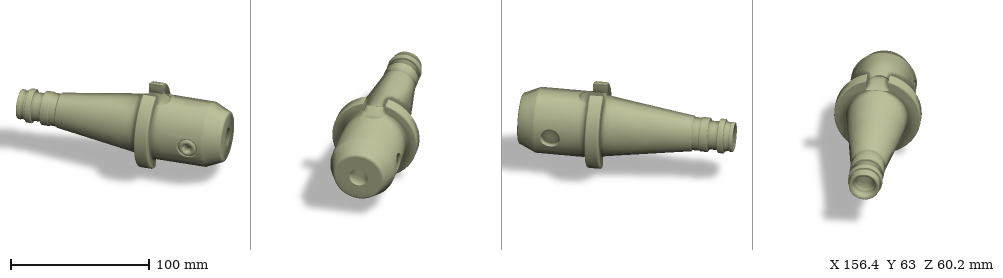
import cadquery as cq
import math

total_length = 156.4
gauge_x = 93.8
flange_start = 95.0
flange_width = 10.0
flange_end = flange_start + flange_width

end_radius = 11.0
end_chamfer = 0.5
ring_groove_start = 2.2
ring_groove_width = 3.1
ring_groove_depth = 0.5
ring_groove_slope = 0.8
land_radius = 12.5
land_edge = 0.3
rear_land_start = 6.7
rear_land_end = 11.1
front_land_start = 18.3
front_land_end = 24.0
neck_radius = 10.5
neck_fillet = 0.6
relief_radius = 12.0
relief_step = 0.8
taper_start = 30.3
taper_lead_in = 0.8

taper_ratio = 7 / 24
gauge_radius = 22.2
taper_small_radius = gauge_radius - (gauge_x - taper_start) * taper_ratio / 2
flange_radius = 31.5
flange_fillet = 1.1
taper_root_fillet = 0.6
flange_height = 60.2
body_radius = 24.0
flange_root_fillet = 1.5
cone_start = 143.5
cone_end = 155.5
cone_end_radius = 18.6
cone_fillet = 2.5
nose_fillet = 2.0

slot_width = 16.3
slot_floor = 22.5
slot_end = 113.7

bore_radius = 6.9
middle_bore_radius = 7.2
middle_bore_end = 11.1
mouth_bore_radius = 8.0
mouth_bore_end = 6.4
mouth_fillet = 2.3

screw_x = 133.0
screw_radius = 6.9
screw_head_y = -23.8
screw_tip_y = -7.8
screw_point_radius = 5.5
screw_chamfer_depth = 1.4
hex_across_flats = 6.1
hex_depth = 6.0
hex_mouth_radius = 4.0
hole_chamfer = 0.8

balance_x = 131.2
balance_radius = 7.2
balance_floor_y = 18.8


def revolve_about_x(profile):
    return profile.close().revolve(360, (0, 0, 0), (1, 0, 0))


def make_pilot():
    """Stepped drawbar end, up to the small end of the taper."""
    groove_end = ring_groove_start + ring_groove_width
    groove_radius = end_radius - ring_groove_depth
    profile = (
        cq.Workplane("XZ")
        .lineTo(0, end_radius - end_chamfer)
        .lineTo(end_chamfer, end_radius)
        .lineTo(ring_groove_start, end_radius)
        .lineTo(ring_groove_start + ring_groove_slope, groove_radius)
        .lineTo(groove_end - ring_groove_slope, groove_radius)
        .lineTo(groove_end, end_radius)
        .lineTo(rear_land_start, end_radius)
        .lineTo(rear_land_start, land_radius - land_edge)
        .lineTo(rear_land_start + land_edge, land_radius)
        .lineTo(rear_land_end - land_edge, land_radius)
        .lineTo(rear_land_end, land_radius - land_edge)
        .lineTo(rear_land_end, neck_radius + neck_fillet)
        .radiusArc((rear_land_end + neck_fillet, neck_radius), -neck_fillet)
        .lineTo(front_land_start - neck_fillet, neck_radius)
        .radiusArc((front_land_start, neck_radius + neck_fillet), -neck_fillet)
        .lineTo(front_land_start, land_radius - land_edge)
        .lineTo(front_land_start + land_edge, land_radius)
        .lineTo(front_land_end, land_radius)
        .lineTo(front_land_end + relief_step, relief_radius)
        .lineTo(taper_start - taper_lead_in, relief_radius)
        .lineTo(taper_start, taper_small_radius)
        .lineTo(taper_start, 0)
    )
    return revolve_about_x(profile)


def make_taper():
    profile = (
        cq.Workplane("XZ")
        .moveTo(taper_start, 0)
        .lineTo(taper_start, taper_small_radius)
        .lineTo(gauge_x, gauge_radius)
        .lineTo(flange_start - taper_root_fillet, gauge_radius)
        .radiusArc((flange_start, gauge_radius + taper_root_fillet), -taper_root_fillet)
        .lineTo(flange_start, 0)
    )
    return revolve_about_x(profile)


def make_flange():
    """Rounded disc, cut flat at the top and bottom."""
    disc = cq.Workplane("YZ", origin=(flange_start, 0, 0)).circle(flange_radius).extrude(flange_width)
    disc = disc.edges().fillet(flange_fillet)
    clip = cq.Workplane("XY").box(3 * flange_width, 3 * flange_radius, flange_height)
    return disc.intersect(clip.translate((flange_start, 0, 0)))


def make_nose():
    """Cylindrical body with a conical front end and a fillet against the flange."""
    root_end = flange_end + flange_root_fillet
    cone_slope = (body_radius - cone_end_radius) / (cone_end - cone_start)
    front_radius = body_radius - cone_slope * (total_length - cone_start)
    outline = (
        cq.Workplane("XZ")
        .moveTo(flange_start, 0)
        .lineTo(flange_start, body_radius)
        .lineTo(cone_start, body_radius)
        .lineTo(total_length, front_radius)
        .lineTo(total_length, 0)
    )
    nose = revolve_about_x(outline)
    nose = nose.faces(">X").edges().fillet(nose_fillet)
    nose = nose.faces("%CYLINDER").edges(">X").fillet(cone_fillet)
    root = (
        cq.Workplane("XZ")
        .moveTo(flange_end, 0)
        .lineTo(flange_end, body_radius + flange_root_fillet)
        .radiusArc((root_end, body_radius), -flange_root_fillet)
        .lineTo(root_end, 0)
    )
    return nose.union(revolve_about_x(root))


def make_key_slot(side):
    """Round-ended cutter for one key slot; side is +1 for +Z and -1 for -Z."""
    straight_end = slot_end - slot_width / 2
    outline = (
        cq.Workplane("XY", origin=(0, 0, side * slot_floor))
        .moveTo(flange_start, -slot_width / 2)
        .lineTo(straight_end, -slot_width / 2)
        .threePointArc((slot_end, 0), (straight_end, slot_width / 2))
        .lineTo(flange_start, slot_width / 2)
        .close()
    )
    return outline.extrude(side * flange_radius)


def make_bore():
    """Through bore that narrows in two chamfered steps behind a rounded mouth."""
    mouth_step = mouth_bore_radius - middle_bore_radius
    middle_step = middle_bore_radius - bore_radius
    profile = (
        cq.Workplane("XZ")
        .lineTo(0, mouth_bore_radius + mouth_fillet)
        .radiusArc((mouth_fillet, mouth_bore_radius), -mouth_fillet)
        .lineTo(mouth_bore_end, mouth_bore_radius)
        .lineTo(mouth_bore_end + mouth_step, middle_bore_radius)
        .lineTo(middle_bore_end, middle_bore_radius)
        .lineTo(middle_bore_end + middle_step, bore_radius)
        .lineTo(total_length, bore_radius)
        .lineTo(total_length, 0)
    )
    return revolve_about_x(profile)


def cut_screw_hole(holder):
    """Radial hole from the axis out through the -Y side, chamfered where it meets the body surface."""
    hole = cq.Workplane("XZ", origin=(screw_x, 0, 0)).circle(screw_radius).extrude(2 * body_radius)
    drilled = holder.cut(hole)
    reach = screw_radius + hole_chamfer
    around_rim = cq.selectors.BoxSelector(
        (screw_x - reach, -body_radius - hole_chamfer, -reach),
        (screw_x + reach, -body_radius / 2, reach),
        boundingbox=True,
    )
    return drilled.edges(around_rim).chamfer(hole_chamfer)


def make_balance_hole():
    floor = cq.Workplane("XZ", origin=(balance_x, balance_floor_y, 0))
    return floor.circle(balance_radius).extrude(-body_radius)


def make_holder():
    holder = make_pilot().union(make_taper()).union(make_flange()).union(make_nose())
    for side in (1, -1):
        holder = holder.cut(make_key_slot(side))
    holder = cut_screw_hole(holder)
    return holder.cut(make_balance_hole()).cut(make_bore())


def make_screw():
    """Set screw with a chamfered head and a countersunk hexagon socket."""
    profile = (
        cq.Workplane("XY", origin=(screw_x, 0, 0))
        .moveTo(0, screw_tip_y)
        .lineTo(screw_radius, screw_tip_y)
        .lineTo(screw_radius, screw_head_y + screw_chamfer_depth)
        .lineTo(screw_point_radius, screw_head_y)
        .lineTo(0, screw_head_y)
        .close()
    )
    screw = profile.revolve(360, (0, 0, 0), (0, 1, 0))
    head = cq.Workplane("XZ", origin=(screw_x, screw_head_y, 0))
    hex_diameter = hex_across_flats / math.cos(math.pi / 6)
    screw = screw.cut(head.polygon(6, hex_diameter).extrude(-hex_depth))
    mouth = (
        cq.Workplane("XY", origin=(screw_x, screw_head_y, 0))
        .lineTo(hex_mouth_radius, 0)
        .lineTo(0, hex_mouth_radius)
        .close()
        .revolve(360, (0, 0, 0), (0, 1, 0))
    )
    return screw.cut(mouth)


holder = make_holder()
screw = make_screw()
result = cq.Compound.makeCompound([holder.val(), screw.val()])